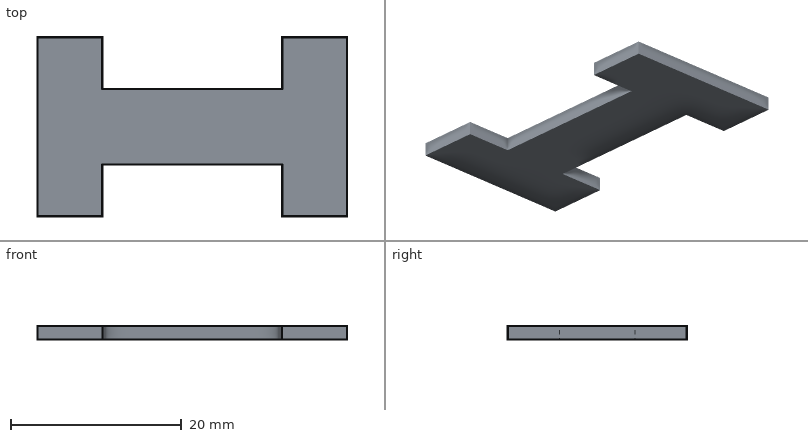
import cadquery as cq

length = 36.25
width = 21.0
thickness = 1.6
end_bar_length = 7.6
web_width = 8.88


def plate(size_x, size_y):
    """Centred rectangular plate of the common thickness."""
    return cq.Workplane("XY").box(size_x, size_y, thickness)


result = plate(length, web_width)
end_bar_offset = (length - end_bar_length) / 2
for side in (-1, 1):
    end_bar = plate(end_bar_length, width).translate((side * end_bar_offset, 0, 0))
    result = result.union(end_bar)
result = result.clean()